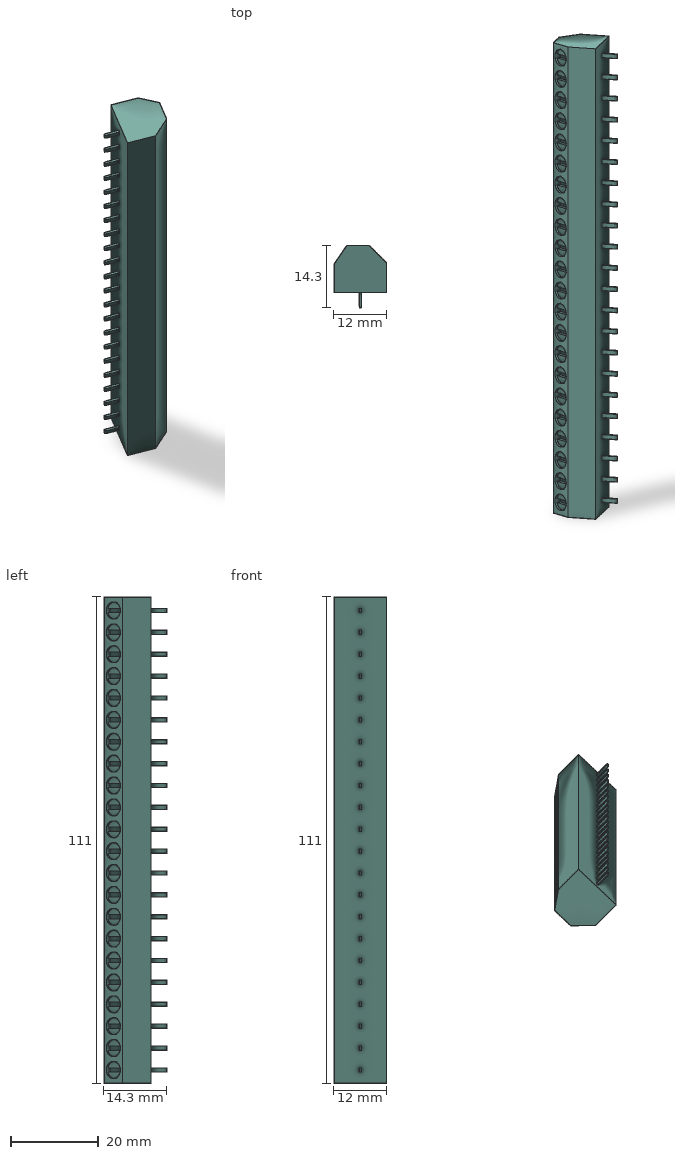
import cadquery as cq

length = 111
body_width = 12.0
body_depth = 10.8
half_width = body_width / 2
screw_slope_width = 2.9
screw_slope_depth = 4.2
plain_slope = 4.0

terminal_count = 22
pitch = 5.0
first_terminal_z = (length - (terminal_count - 1) * pitch) / 2

pin_length = 3.5
pin_thickness = 0.5
pin_height = 1.0
pin_embed = 1.1
pin_tip_length = 0.4
pin_tip_inset = 0.1

screw_diameter = 3.9
recess_depth = 0.5
slot_width = 1.0
slot_depth = 1.0


def make_body():
    outline = [
        (-half_width, 0),
        (half_width, 0),
        (half_width, body_depth - plain_slope),
        (half_width - plain_slope, body_depth),
        (-half_width + screw_slope_width, body_depth),
        (-half_width, body_depth - screw_slope_depth),
    ]
    return cq.Workplane("XY").polyline(outline).close().extrude(length)


def make_pin(z):
    """Flat pin with a tapered tip, rooted inside the housing."""
    half_thickness = pin_thickness / 2
    half_tip = half_thickness - pin_tip_inset
    taper_start = pin_tip_length - pin_length
    outline = [
        (-half_thickness, pin_embed),
        (-half_thickness, taper_start),
        (-half_tip, -pin_length),
        (half_tip, -pin_length),
        (half_thickness, taper_start),
        (half_thickness, pin_embed),
    ]
    pin_base = cq.Workplane("XY").workplane(offset=z - pin_height / 2)
    return pin_base.polyline(outline).close().extrude(pin_height)


def screw_plane(z):
    """Plane on the middle of the -X slope, with its normal pointing outward."""
    return cq.Plane(
        origin=(-half_width + screw_slope_width / 2, body_depth - screw_slope_depth / 2, z),
        xDir=(-screw_slope_width, -screw_slope_depth, 0),
        normal=(-screw_slope_depth, screw_slope_width, 0),
    )


def make_screw_cavity(z):
    """Round hole whose bottom is filled by the screw head, except for the driver slot."""
    cavity_depth = recess_depth + slot_depth
    cavity = cq.Workplane(screw_plane(z)).circle(screw_diameter / 2).extrude(-cavity_depth)
    head_plane = cq.Workplane(screw_plane(z)).workplane(offset=-recess_depth)
    cheek_size = 1.5 * screw_diameter
    for side in (-1, 1):
        cheek_centre = side * (slot_width + cheek_size) / 2
        cheek = head_plane.center(0, cheek_centre).rect(cheek_size, cheek_size).extrude(-cheek_size)
        cavity = cavity.cut(cheek)
    return cavity


result = make_body()
for index in range(terminal_count):
    terminal_z = first_terminal_z + index * pitch
    result = result.union(make_pin(terminal_z))
    result = result.cut(make_screw_cavity(terminal_z))